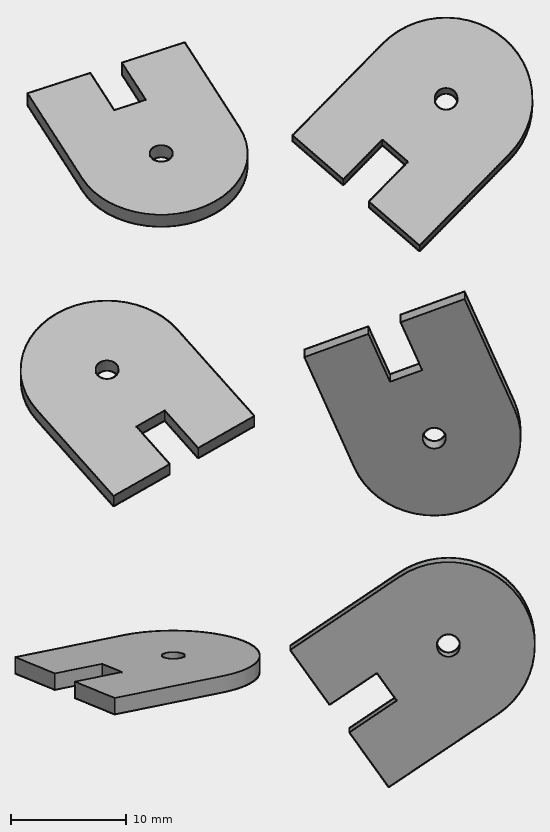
import cadquery as cq

length = 19.0
width = 15.0
thickness = 1.5
hole_diameter = 2.0
slot_depth = 5.0
slot_width = 3.0

end_radius = width / 2
straight_length = length - end_radius

plate = (
    cq.Workplane("XY")
    .moveTo(-straight_length, -end_radius)
    .lineTo(0, -end_radius)
    .threePointArc((end_radius, 0), (0, end_radius))
    .lineTo(-straight_length, end_radius)
    .close()
    .extrude(thickness)
)

slot = (
    cq.Workplane("XY")
    .center(-straight_length + slot_depth / 2, 0)
    .rect(slot_depth, slot_width)
    .extrude(thickness)
)

hole = cq.Workplane("XY").circle(hole_diameter / 2).extrude(thickness)

result = plate.cut(slot).cut(hole)